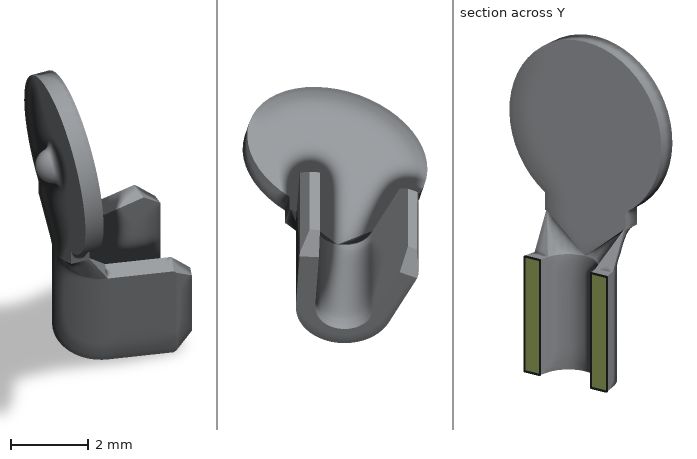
import cadquery as cq
import math

sheet = 0.5
total_height = 9.14
total_depth = 3.82

head_radius = 2.41
head_center_z = total_height - head_radius

dimple_height = 0.51
dimple_fillet_radius = 0.67
dome_radius = 0.44
dome_base = 0.2
foot_sag = 0.04

bend_radius = 1.265
barrel_height = 3.2
wing_angle = math.radians(11.0)
wing_corner = 0.5
tip_bevel_length = 0.43
tip_bevel_depth = 0.23
wing_end_y = total_depth - dimple_height

neck_half_width = 1.28
neck_bottom_z = 4.2
strip_width = 0.02

inner_radius = bend_radius - sheet
lean_sin = math.sin(wing_angle)
lean_cos = math.cos(wing_angle)
wing_root_inner_y = bend_radius - inner_radius * lean_sin
wing_root_outer_x = bend_radius * lean_cos
wing_length = (wing_end_y - wing_root_inner_y) / lean_cos


def bend_point(radius, angle):
    """Point on the right half of the bend, angle measured down from +X."""
    return (radius * math.cos(angle), bend_radius - radius * math.sin(angle))


def half_bend(workplane):
    """Right half of the bent sheet section, from the centre plane to the wing root."""
    middle = (wing_angle + math.pi / 2) / 2
    return (
        workplane.moveTo(0, 0)
        .threePointArc(bend_point(bend_radius, middle), bend_point(bend_radius, wing_angle))
        .lineTo(*bend_point(inner_radius, wing_angle))
        .threePointArc(bend_point(inner_radius, middle), (0, sheet))
        .close()
    )


def make_wing():
    """Right wing, drawn along its own length and then placed at the bend end."""
    bevel_start = wing_length - tip_bevel_length
    wing = (
        cq.Workplane("XY")
        .moveTo(0, 0)
        .lineTo(0, bevel_start)
        .lineTo(-tip_bevel_depth, wing_length)
        .lineTo(-sheet, wing_length)
        .lineTo(-sheet, 0)
        .close()
        .extrude(barrel_height)
    )
    side_outline = (
        cq.Workplane("YZ")
        .moveTo(0, 0)
        .lineTo(wing_length - wing_corner, 0)
        .lineTo(wing_length, wing_corner)
        .lineTo(wing_length, barrel_height - wing_corner)
        .lineTo(wing_length - wing_corner, barrel_height)
        .lineTo(0, barrel_height)
        .close()
        .extrude(-sheet)
    )
    root_x, root_y = bend_point(bend_radius, wing_angle)
    return (
        wing.intersect(side_outline)
        .rotate((0, 0, 0), (0, 0, 1), -math.degrees(wing_angle))
        .translate((root_x, root_y, 0))
    )


def make_bend_taper():
    """Right half of the bend, tapering from the barrel up to the edge of the flat neck."""
    strip_inner_x = wing_root_outer_x - strip_width
    return (
        half_bend(cq.Workplane("XY", origin=(0, 0, barrel_height)))
        .workplane(offset=neck_bottom_z - barrel_height)
        .moveTo(strip_inner_x, 0)
        .lineTo(wing_root_outer_x, 0)
        .lineTo(wing_root_outer_x, sheet)
        .lineTo(strip_inner_x, sheet)
        .close()
        .loft(ruled=True)
    )


def make_right_side():
    barrel = half_bend(cq.Workplane("XY")).extrude(barrel_height)
    return barrel.union(make_wing()).union(make_bend_taper())


def make_throat():
    """Flat triangle between the two tapers, narrowing from the neck down to the barrel."""
    half_width = wing_root_outer_x - strip_width
    return (
        cq.Workplane("XZ")
        .moveTo(0, barrel_height)
        .lineTo(half_width, neck_bottom_z)
        .lineTo(-half_width, neck_bottom_z)
        .close()
        .extrude(-sheet)
    )


def make_neck():
    """Flat tab running up from the throat into the head."""
    return (
        cq.Workplane("XY", origin=(0, sheet / 2, neck_bottom_z))
        .rect(2 * neck_half_width, sheet)
        .extrude(head_center_z - neck_bottom_z)
    )


def make_head():
    return cq.Workplane("XZ", origin=(0, 0, head_center_z)).circle(head_radius).extrude(-sheet)


def make_dimple():
    """Domed contact with a flared foot, revolved about an axis along Y."""
    foot_middle_x = (dimple_fillet_radius + dome_radius) / 2 - foot_sag
    foot_middle_y = -dome_base / 2 + foot_sag
    dome_rise = dimple_height - dome_base
    sphere_radius = (dome_radius**2 + dome_rise**2) / (2 * dome_rise)
    sphere_center_y = sphere_radius - dimple_height
    half_angle = math.asin(dome_radius / sphere_radius) / 2
    dome_middle = (
        sphere_radius * math.sin(half_angle),
        sphere_center_y - sphere_radius * math.cos(half_angle),
    )
    return (
        cq.Workplane("XY")
        .moveTo(0, sheet / 2)
        .lineTo(dimple_fillet_radius, sheet / 2)
        .lineTo(dimple_fillet_radius, 0)
        .threePointArc((foot_middle_x, foot_middle_y), (dome_radius, -dome_base))
        .threePointArc(dome_middle, (0, -dimple_height))
        .close()
        .revolve(360, (0, 0, 0), (0, 1, 0))
        .translate((0, 0, head_center_z))
    )


right_side = make_right_side()
left_side = right_side.mirror("YZ")
result = (
    right_side.union(left_side)
    .union(make_throat())
    .union(make_neck())
    .union(make_head())
    .union(make_dimple())
)